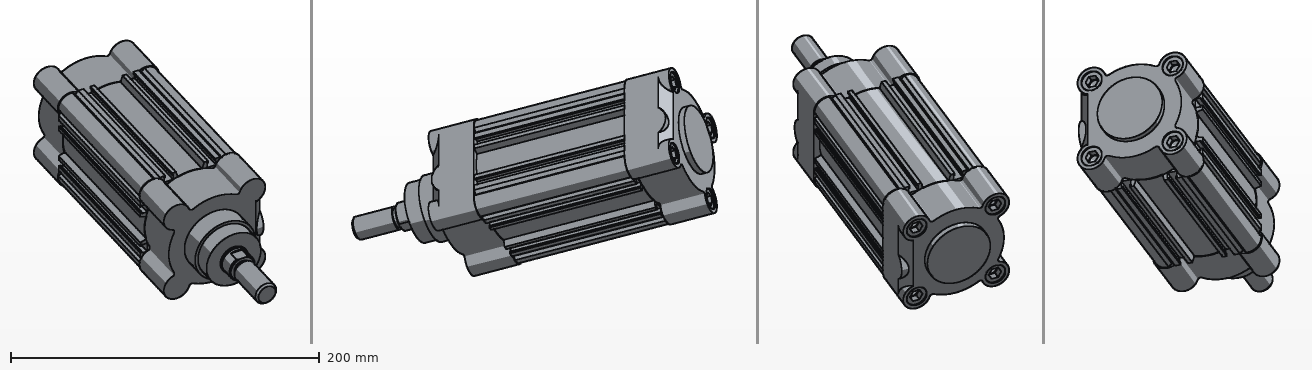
import cadquery as cq
import math


rear_cap_start = 4.1
barrel_start = 35.6
front_cap_start = 143.0
front_cap_end = 175.2
collar_end = 189.0
bearing_end = 200.3
rod_tip = 244.0

half_width = 37.8
ear_radius = 9.8
ear_offset = half_width - ear_radius
cap_disc_radius = 34.2
valley_radius = 2.0
collar_radius = 22.5
bearing_radius = 20.3

port_chamfer = 7.3
port_boss_radius = 12.2
port_boss_gap = 2.2
port_boss_z = -5.9
port_boss_length = 11.0

screw_seat_radius = 7.0
screw_seat_depth = 1.0
socket_flats = 7.8
socket_turn = 30
socket_depth = 5.0
socket_cone_radius = 3.5
socket_cone_height = 2.0

barrel_half_width = 37.0
barrel_core_radius = 33.7
corner_radius = barrel_half_width - ear_offset
slot_floor = 32.0
slot_outer = 19.3
slot_inner = 12.7
lip_width = 0.7
lip_thickness = 1.5
fin_tip_inner = 10.5
fin_foot_inner = 9.0
notch_outer = 26.8
notch_inner = 22.5
notch_depth = (notch_outer - notch_inner) / 2

rod_radius = 10.0
rod_shoulder_end = 201.8
flats_radius = 9.5
flats_start = 204.0
flats_end = 212.0
flats_half_width = 8.5
flats_chamfer = 0.7
neck_radius = 6.3
neck_end = 215.0
thread_radius = 7.8
thread_chamfer = 1.5

ear_centres = [(y * ear_offset, z * ear_offset) for y in (-1, 1) for z in (-1, 1)]


def cross_section(x):
    """Workplane across the axis at x, with local axes Y and Z."""
    return cq.Workplane("YZ", origin=(x, 0, 0))


def cylinder(start, end, radius):
    """Solid of revolution about the cylinder axis."""
    return cross_section(start).circle(radius).extrude(end - start)


def is_valley(edge):
    """True for an edge along X where an ear meets the cap disc."""
    centre = edge.Center()
    from_axis = math.hypot(centre.y, centre.z)
    from_ear = math.hypot(abs(centre.y) - ear_offset, abs(centre.z) - ear_offset)
    return math.isclose(from_axis, cap_disc_radius, abs_tol=0.02) and math.isclose(
        from_ear, ear_radius, abs_tol=0.02
    )


def cap_block(length):
    """Cap with its outer face at x = 0 and its inner face at x = length."""
    ears = cross_section(0).pushPoints(ear_centres).circle(ear_radius).extrude(length)
    cap = cylinder(0, length, cap_disc_radius).union(ears)
    valleys = cap.edges("|X").filter(is_valley).vals()
    cap = cap.newObject(valleys).fillet(valley_radius)

    port_side = cq.Workplane().box(length, ear_radius, 2 * ear_offset, centered=(False, False, True))
    cap = cap.union(port_side.translate((0, ear_offset, 0)))
    bevel = (
        cq.Workplane("XY", origin=(0, 0, -ear_offset))
        .moveTo(0, half_width)
        .lineTo(0, half_width - port_chamfer)
        .lineTo(port_chamfer, half_width)
        .close()
        .extrude(2 * ear_offset)
    )
    boss_x = port_boss_gap + port_boss_radius
    boss = (
        cq.Workplane("XZ", origin=(boss_x, half_width, port_boss_z))
        .circle(port_boss_radius)
        .extrude(port_boss_length)
    )
    return cap.cut(bevel).union(boss).union(ears)


def cut_screw(cap, y, z):
    """Sink one tie-screw head, with its hexagon socket, into the outer face at x = 0."""
    seat = cq.Workplane("YZ", origin=(0, y, z)).circle(screw_seat_radius).extrude(screw_seat_depth)
    socket = (
        cq.Workplane("YZ", origin=(screw_seat_depth, y, z))
        .polygon(6, socket_flats, circumscribed=True)
        .extrude(socket_depth)
        .rotate((0, y, z), (1, y, z), socket_turn)
    )
    cone = cq.Solid.makeCone(
        socket_cone_radius,
        0,
        socket_cone_height,
        pnt=cq.Vector(screw_seat_depth + socket_depth, y, z),
        dir=cq.Vector(1, 0, 0),
    )
    return cap.cut(seat).cut(socket).cut(cq.Workplane(cone))


def make_rear_cap():
    cap = cap_block(barrel_start - rear_cap_start)
    for y, z in ear_centres:
        cap = cut_screw(cap, y, z)
    collar = cylinder(0, rear_cap_start, collar_radius)
    return cap.translate((rear_cap_start, 0, 0)).union(collar)


def make_front_cap():
    cap = cap_block(front_cap_end - front_cap_start).mirror("YZ").translate((front_cap_end, 0, 0))
    collar = cylinder(front_cap_end, collar_end, collar_radius)
    bearing = cylinder(collar_end, bearing_end, bearing_radius)
    return cap.union(collar).union(bearing)


def barrel_corner(length):
    """Corner and its two half sides, between the +Y and +Z axes."""
    edge = barrel_half_width
    half_outline = [
        (fin_foot_inner, math.sqrt(barrel_core_radius**2 - fin_foot_inner**2)),
        (fin_tip_inner, edge),
        (slot_inner + lip_width, edge),
        (slot_inner + lip_width, edge - lip_thickness),
        (slot_inner, edge - lip_thickness),
        (slot_inner, slot_floor),
        (slot_outer, slot_floor),
        (slot_outer, edge - lip_thickness),
        (slot_outer - lip_width, edge - lip_thickness),
        (slot_outer - lip_width, edge),
        (notch_inner, edge),
        ((notch_inner + notch_outer) / 2, edge - notch_depth),
        (notch_outer, edge),
        (ear_offset, edge),
    ]
    other_half = [(z, y) for y, z in reversed(half_outline)]
    arc_middle = ear_offset + corner_radius * math.sqrt(0.5)
    return (
        cross_section(barrel_start)
        .polyline([(0, 0)] + half_outline)
        .threePointArc((arc_middle, arc_middle), other_half[0])
        .polyline(other_half[1:], includeCurrent=True)
        .close()
        .extrude(length)
    )


def make_barrel():
    corner = barrel_corner(front_cap_start - barrel_start)
    barrel = cylinder(barrel_start, front_cap_start, barrel_core_radius)
    for quarter in range(4):
        barrel = barrel.union(corner.rotate((0, 0, 0), (1, 0, 0), 90 * quarter))
    return barrel


def make_piston_rod():
    shoulder = cylinder(bearing_end, rod_shoulder_end, rod_radius)
    wrench_part = cylinder(rod_shoulder_end, flats_end, flats_radius).faces(">X").chamfer(flats_chamfer)
    for side in (-1, 1):
        removed = cq.Workplane().box(
            flats_end - flats_start, 2 * rod_radius, rod_radius, centered=(False, True, False)
        )
        if side < 0:
            removed = removed.mirror("XY")
        wrench_part = wrench_part.cut(removed.translate((flats_start, 0, side * flats_half_width)))
    neck = cylinder(flats_end, neck_end, neck_radius)
    thread = cylinder(neck_end, rod_tip, thread_radius).faces(">X").chamfer(thread_chamfer)
    return shoulder.union(wrench_part).union(neck).union(thread)


rear_cap = make_rear_cap().solids()
barrel = make_barrel().solids()
front_cap = make_front_cap().solids()
piston_rod = make_piston_rod().solids()

result = cq.Compound.makeCompound(
    [rear_cap.val(), barrel.val(), front_cap.val(), piston_rod.val()]
)